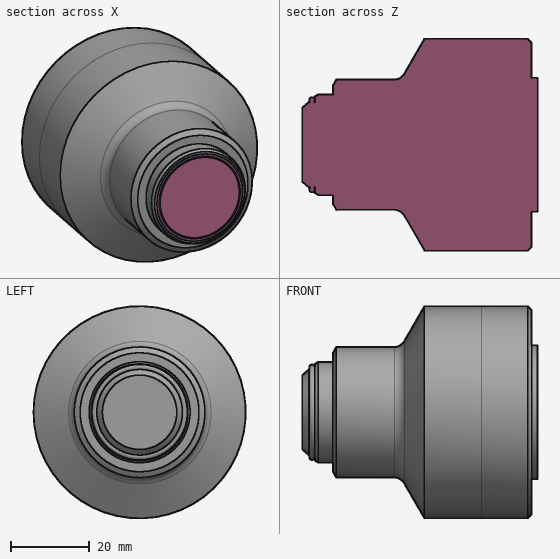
import cadquery as cq
import math

nose_cone_end = 1.7
spigot_start = 3.25
neck_start = 7.8
body_start = 31.05
body_joint = 45.45
body_end = 58.25
overall_length = 59.8

nose_face_radius = 9.45
nose_core_radius = 10.9
spigot_radius = 25.65 / 2
neck_radius = 33.2 / 2
body_radius = 53.95 / 2
rear_boss_radius = 34.15 / 2

spigot_chamfer_length = 0.85
spigot_chamfer_depth = 0.55
neck_chamfer_length = 0.9
neck_chamfer_depth = 1.5
body_chamfer = 1.0
rear_boss_chamfer = 0.2
flare_angle = math.radians(60)
flare_fillet_radius = 3.0

ring_section_radius = 0.75
ring_outer_radius = 12.15


def make_turned_body():
    """Revolve the stepped half profile about the X axis."""
    flare_corner = body_start - (body_radius - neck_radius) / math.tan(flare_angle)
    fillet_start = flare_corner - flare_fillet_radius * math.tan(flare_angle / 2)

    def fillet_point(angle):
        x = fillet_start + flare_fillet_radius * math.sin(angle)
        radius = neck_radius + flare_fillet_radius * (1 - math.cos(angle))
        return x, radius

    return (
        cq.Workplane("XY")
        .moveTo(0, 0)
        .lineTo(0, nose_face_radius)
        .lineTo(nose_cone_end, nose_core_radius)
        .lineTo(spigot_start, nose_core_radius)
        .lineTo(spigot_start, spigot_radius - spigot_chamfer_depth)
        .lineTo(spigot_start + spigot_chamfer_length, spigot_radius)
        .lineTo(neck_start, spigot_radius)
        .lineTo(neck_start, neck_radius - neck_chamfer_depth)
        .lineTo(neck_start + neck_chamfer_length, neck_radius)
        .lineTo(fillet_start, neck_radius)
        .threePointArc(fillet_point(flare_angle / 2), fillet_point(flare_angle))
        .lineTo(body_start, body_radius)
        .lineTo(body_joint, body_radius)
        .lineTo(body_end - body_chamfer, body_radius)
        .lineTo(body_end, body_radius - body_chamfer)
        .lineTo(body_end, rear_boss_radius)
        .lineTo(overall_length - rear_boss_chamfer, rear_boss_radius)
        .lineTo(overall_length, rear_boss_radius - rear_boss_chamfer)
        .lineTo(overall_length, 0)
        .close()
        .revolve(360, (0, 0, 0), (1, 0, 0), clean=False)
    )


def make_ring():
    """Round-section ring around the nose core."""
    ring_x = spigot_start - ring_section_radius
    ring_center_radius = ring_outer_radius - ring_section_radius
    return (
        cq.Workplane("XY")
        .center(ring_x, ring_center_radius)
        .circle(ring_section_radius)
        .revolve(360, (0, -ring_center_radius, 0), (1, -ring_center_radius, 0))
    )


result = make_turned_body().union(make_ring(), clean=False)